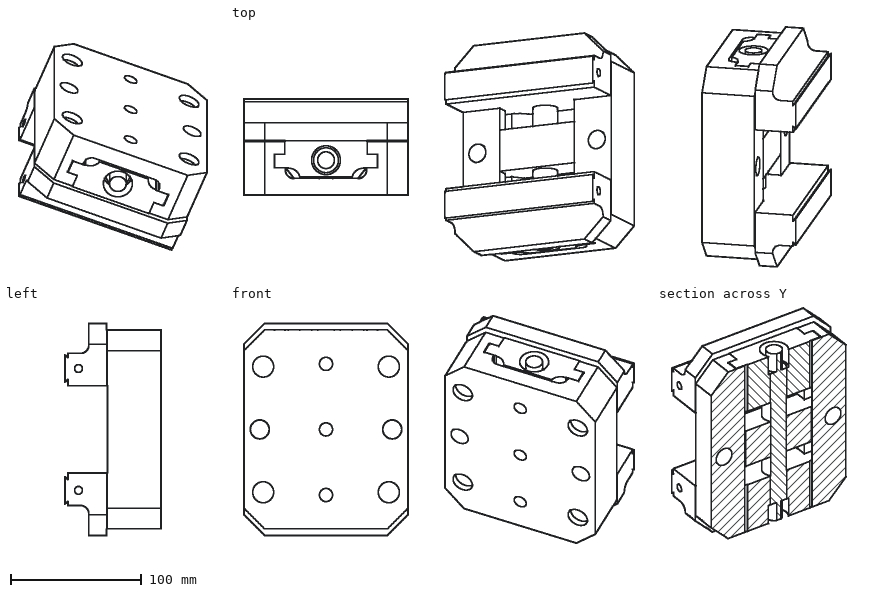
import cadquery as cq


width = 125.7
housing_height = 152.3
housing_depth = 41.1
corner_chamfer = 15.9

slot_floor_y = 12.7
flange_front_y = 21.0
flange_back_y = 31.3
neck_half_width = 31.5
flange_half_width = 39.6
lower_half_width = 31.0
slot_corner_radius = 6.5

corner_hole_diameter = 16.0
corner_hole_depth = 5.0
corner_hole_offset = 48.0
side_hole_diameter = 14.3
side_hole_x = 50.7
centre_hole_diameter = 10.0
centre_hole_spacing = 50.2

overall_height = 162.4
overall_depth = 73.5
jaw_inner_z = 33.3
jaw_outer_z = overall_height / 2
jaw_block_z = 58.3
jaw_front_y = 41.5
jaw_step_y = 55.4
jaw_step_radius = 6.2

dovetail_depth = 2.3
dovetail_root_y = overall_depth - dovetail_depth
dovetail_z = 46.6
dovetail_tip_half = 10.5
dovetail_root_half = dovetail_tip_half - dovetail_depth

cross_hole_diameter = 6.0
cross_hole_y = 63.2
cross_hole_depth = 16.2

slide_side_gap = 0.5
slide_floor_y = 14.1
slide_outer_z = housing_height / 2
foot_half_width = 29.0
relief_x = 28.5
relief_radius = 8.6
relief_y = 11.9

spindle_y = 26.6
spindle_diameter = 19.0
journal_diameter = 12.8
journal_length = 16.2
counterbore_diameter = 22.1
counterbore_depth = journal_length

block_length = 32.5
block_floor_half_width = lower_half_width - slot_corner_radius


def chamfered_plate(height, y_start, y_end):
    """Upright plate centred on X and Z, with its four corners cut at 45 degrees."""
    return (
        cq.Workplane("XY")
        .box(width, y_end - y_start, height)
        .translate((0, (y_start + y_end) / 2, 0))
        .edges("|Y")
        .chamfer(corner_chamfer)
    )


def cylinder_along_y(diameter, x, z, length):
    """Cylinder that starts at the mounting face."""
    return cq.Workplane("XZ", origin=(x, 0, z)).circle(diameter / 2).extrude(-length)


def cylinder_along_z(diameter, z_start, z_end):
    """Cylinder on the spindle axis."""
    return (
        cq.Workplane("XY", origin=(0, spindle_y, z_start))
        .circle(diameter / 2)
        .extrude(z_end - z_start)
    )


def cross_box(half_width, y_start, y_end, z_start, z_end):
    """Box centred on X."""
    return cq.Workplane("XY").box(2 * half_width, y_end - y_start, z_end - z_start).translate(
        (0, (y_start + y_end) / 2, (z_start + z_end) / 2)
    )


def make_slot():
    """Volume of the guide slot: neck, flange and a lower channel with rounded corners."""
    z_end = housing_height / 2
    neck = cross_box(neck_half_width, flange_back_y, housing_depth, -z_end, z_end)
    flange = cross_box(flange_half_width, flange_front_y, flange_back_y, -z_end, z_end)
    channel = cross_box(lower_half_width, slot_floor_y, flange_back_y, -z_end, z_end)
    channel = channel.edges("|Z and <Y").fillet(slot_corner_radius)
    return neck.union(flange).union(channel)


def make_housing():
    housing = chamfered_plate(housing_height, 0, housing_depth).cut(make_slot())
    for side in (-1, 1):
        through_hole = cylinder_along_y(side_hole_diameter, side * side_hole_x, 0, housing_depth)
        housing = housing.cut(through_hole)
        for end in (-1, 1):
            x = side * corner_hole_offset
            z = end * corner_hole_offset
            housing = housing.cut(cylinder_along_y(corner_hole_diameter, x, z, corner_hole_depth))
    for step in (-1, 0, 1):
        z = step * centre_hole_spacing
        housing = housing.cut(cylinder_along_y(centre_hole_diameter, 0, z, slot_floor_y))
    return housing


def jaw_profile():
    """Side profile of the upper jaw in Y and Z, swept over the full width."""
    arc_y = jaw_step_y + jaw_step_radius
    arc_z = jaw_block_z + jaw_step_radius
    arc_mid = jaw_step_radius * 0.5 ** 0.5
    return (
        cq.Workplane("YZ", origin=(-width / 2, 0, 0))
        .moveTo(jaw_front_y, jaw_inner_z)
        .lineTo(dovetail_root_y, jaw_inner_z)
        .lineTo(dovetail_root_y, dovetail_z - dovetail_root_half)
        .lineTo(overall_depth, dovetail_z - dovetail_tip_half)
        .lineTo(overall_depth, dovetail_z + dovetail_tip_half)
        .lineTo(dovetail_root_y, dovetail_z + dovetail_root_half)
        .lineTo(dovetail_root_y, jaw_block_z)
        .lineTo(arc_y, jaw_block_z)
        .threePointArc((arc_y - arc_mid, arc_z - arc_mid), (jaw_step_y, arc_z))
        .lineTo(jaw_step_y, jaw_outer_z)
        .lineTo(jaw_front_y, jaw_outer_z)
        .close()
        .extrude(width)
    )


def make_slide():
    """T-shaped slide of the upper jaw, relieved along the rounded corners of the slot."""
    neck = cross_box(neck_half_width, flange_back_y, jaw_front_y, jaw_inner_z, slide_outer_z)
    flange_half = flange_half_width - slide_side_gap
    flange = cross_box(flange_half, flange_front_y, flange_back_y, jaw_inner_z, slide_outer_z)
    foot = cross_box(foot_half_width, slide_floor_y, flange_back_y, jaw_inner_z, slide_outer_z)
    for side in (-1, 1):
        relief = (
            cq.Workplane("XY", origin=(side * relief_x, relief_y, jaw_inner_z))
            .circle(relief_radius)
            .extrude(slide_outer_z - jaw_inner_z)
        )
        foot = foot.cut(relief)
    return neck.union(flange).union(foot)


def make_upper_jaw():
    outline = chamfered_plate(overall_height, jaw_front_y, overall_depth)
    jaw = jaw_profile().intersect(outline).union(make_slide())
    cross_hole = (
        cq.Workplane("YZ", origin=(-width / 2, cross_hole_y, dovetail_z))
        .circle(cross_hole_diameter / 2)
        .extrude(cross_hole_depth)
    )
    bore = cylinder_along_z(spindle_diameter, jaw_inner_z, slide_outer_z)
    counterbore = cylinder_along_z(
        counterbore_diameter, slide_outer_z - counterbore_depth, slide_outer_z
    )
    return jaw.cut(cross_hole).cut(bore).cut(counterbore)


def make_spindle():
    """Spindle with a thinner journal at each end, flush with the slide ends."""
    thread_end = slide_outer_z - journal_length
    thread = cylinder_along_z(spindle_diameter, -thread_end, thread_end)
    journals = cylinder_along_z(journal_diameter, -slide_outer_z, slide_outer_z)
    return thread.union(journals)


def make_bearing_block():
    """Block that fills the middle of the slot, with sloped lower corners."""
    z_end = block_length / 2
    neck = cross_box(neck_half_width, flange_back_y, housing_depth, -z_end, z_end)
    flange = cross_box(flange_half_width, flange_front_y, flange_back_y, -z_end, z_end)
    foot = (
        cq.Workplane("XY", origin=(0, 0, -z_end))
        .polyline([
            (-lower_half_width, flange_front_y),
            (-block_floor_half_width, slot_floor_y),
            (block_floor_half_width, slot_floor_y),
            (lower_half_width, flange_front_y),
        ])
        .close()
        .extrude(block_length)
    )
    bore = cylinder_along_z(spindle_diameter, -z_end, z_end)
    return neck.union(flange).union(foot).cut(bore)


housing = make_housing()
spindle = make_spindle()
bearing_block = make_bearing_block()

upper_jaw = make_upper_jaw()
jaws = []
for mirrored in (False, True):
    jaw = upper_jaw.mirror("XY") if mirrored else upper_jaw
    jaws.append(jaw.val())

result = cq.Compound.makeCompound([housing.val(), *jaws, spindle.val(), bearing_block.val()])